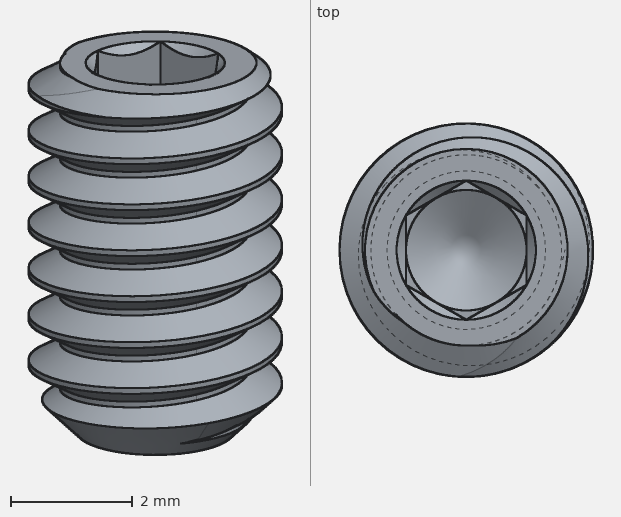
import cadquery as cq
import math

length = 6.35
major_radius = 2.08

pitch = 0.795
flank_angle = 30.0
flat_width = pitch / 8
crest_height_at_x_axis = 0.635
thread_depth = (pitch / 2 - flat_width) / math.tan(math.radians(flank_angle))
root_radius = major_radius - thread_depth
base_overlap = 0.03

top_face_radius = 1.665
top_cone_angle = 37.0
bottom_face_radius = 1.3
bottom_cone_angle = 45.0
clearance = 0.065

across_flats = 1.98
socket_depth = 1.24
drill_point_angle = 118.0


def make_envelope():
    """Space between the two end cones, slightly wider than the crest so only the ends are trimmed."""
    outer_radius = major_radius + clearance
    top_drop = (outer_radius - top_face_radius) * math.tan(math.radians(top_cone_angle))
    bottom_rise = (outer_radius - bottom_face_radius) * math.tan(math.radians(bottom_cone_angle))
    return (
        cq.Workplane("XZ")
        .lineTo(bottom_face_radius, 0)
        .lineTo(outer_radius, bottom_rise)
        .lineTo(outer_radius, length - top_drop)
        .lineTo(top_face_radius, length)
        .lineTo(0, length)
        .close()
        .revolve(360, (0, 0, 0), (0, 1, 0))
    )


def make_thread_ridge():
    """Helical trapezoid running past both ends, with its base sunk a little into the core."""
    extra_turns = 2
    start = crest_height_at_x_axis - extra_turns * pitch
    turns = math.ceil(length / pitch) + 2 * extra_turns
    base_radius = root_radius - base_overlap
    crest_half = flat_width / 2
    base_half = crest_half + (major_radius - base_radius) * math.tan(math.radians(flank_angle))
    helix = cq.Wire.makeHelix(pitch, turns * pitch, root_radius, cq.Vector(0, 0, start))
    profile_plane = cq.Plane(origin=(0, 0, start), xDir=(1, 0, 0), normal=(0, 1, 0))
    return (
        cq.Workplane(profile_plane)
        .moveTo(base_radius, -base_half)
        .lineTo(major_radius, -crest_half)
        .lineTo(major_radius, crest_half)
        .lineTo(base_radius, base_half)
        .close()
        .sweep(cq.Workplane(obj=helix), isFrenet=True)
    )


def make_socket():
    """Hexagon with corners on the Y axis, a 45 degree mouth and a drill point below."""
    inner_radius = across_flats / 2
    corner_radius = inner_radius / math.cos(math.pi / 6)
    floor = length - socket_depth
    point_depth = inner_radius / math.tan(math.radians(drill_point_angle / 2))
    hexagon = (
        cq.Workplane("XY", origin=(0, 0, floor))
        .transformed(rotate=(0, 0, 90))
        .polygon(6, 2 * corner_radius)
        .extrude(socket_depth)
    )
    mouth_depth = corner_radius - inner_radius
    drill = (
        cq.Workplane("XZ")
        .moveTo(0, floor - point_depth)
        .lineTo(inner_radius, floor)
        .lineTo(inner_radius, length - mouth_depth)
        .lineTo(corner_radius, length)
        .lineTo(0, length)
        .close()
        .revolve(360, (0, 0, 0), (0, 1, 0))
    )
    return hexagon.union(drill)


core = cq.Workplane("XY", origin=(0, 0, -pitch)).circle(root_radius).extrude(length + 2 * pitch)
threaded_rod = core.union(make_thread_ridge())
result = threaded_rod.intersect(make_envelope()).cut(make_socket())